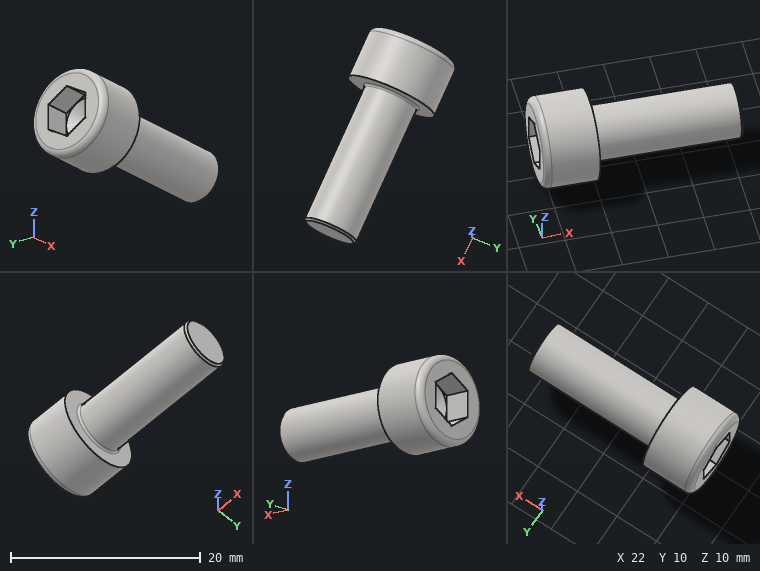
import cadquery as cq
import math

total_length = 22.0
head_diameter = 10.0
head_length = 6.0
shank_diameter = 6.0
head_rounding = 0.75
neck_fillet = 0.25
tip_chamfer_length = 0.25
tip_chamfer_depth = 0.25

socket_across_flats = 5.0
socket_depth = 3.0
cone_half_angle = 60.0

head_radius = head_diameter / 2
shank_radius = shank_diameter / 2
socket_radius = socket_across_flats / 2
socket_across_corners = socket_across_flats / math.cos(math.radians(30))
cone_depth = socket_radius / math.tan(math.radians(cone_half_angle))


def make_body():
    """Revolve the half outline of the head and shank about the X axis."""
    diagonal = math.sqrt(0.5)
    rounding_mid = (
        head_rounding * (1 - diagonal),
        head_radius - head_rounding * (1 - diagonal),
    )
    fillet_mid = (
        head_length + neck_fillet * (1 - diagonal),
        shank_radius + neck_fillet * (1 - diagonal),
    )
    outline = (
        cq.Workplane("XY")
        .lineTo(0, head_radius - head_rounding)
        .threePointArc(rounding_mid, (head_rounding, head_radius))
        .lineTo(head_length, head_radius)
        .lineTo(head_length, shank_radius + neck_fillet)
        .threePointArc(fillet_mid, (head_length + neck_fillet, shank_radius))
        .lineTo(total_length - tip_chamfer_length, shank_radius)
        .lineTo(total_length, shank_radius - tip_chamfer_depth)
        .lineTo(total_length, 0)
        .close()
    )
    return outline.revolve(360, (0, 0, 0), (1, 0, 0))


def make_socket():
    """Hexagonal recess with corners up and down, ending in a drill-point cone."""
    hexagon = (
        cq.Workplane("YZ")
        .transformed(rotate=(0, 0, 90))
        .polygon(6, socket_across_corners)
        .extrude(socket_depth)
    )
    cone = (
        cq.Workplane("XY")
        .moveTo(socket_depth, 0)
        .lineTo(socket_depth, socket_radius)
        .lineTo(socket_depth + cone_depth, 0)
        .close()
        .revolve(360, (0, 0, 0), (1, 0, 0))
    )
    return hexagon.union(cone)


result = make_body().cut(make_socket())